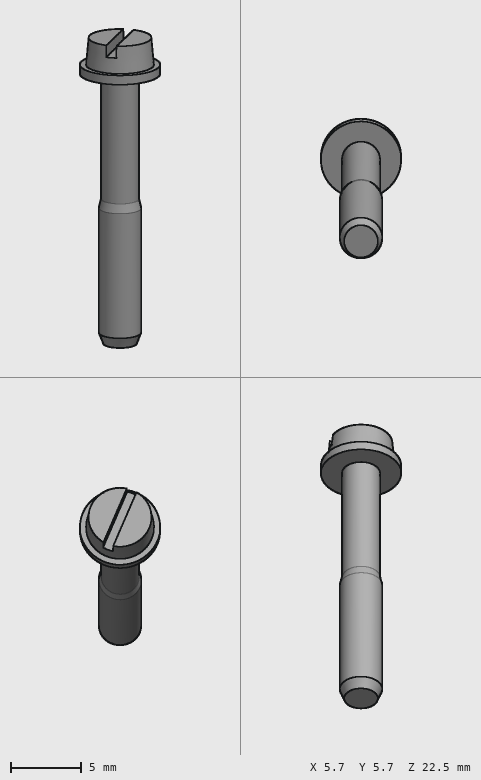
import cadquery as cq

overall_length = 22.5
tip_height = 0.8
thread_top = 10.0
neck_bottom = 10.66
flange_bottom = 19.85
flange_thickness = 0.68
flange_top = flange_bottom + flange_thickness

tip_diameter = 2.38
thread_diameter = 3.02
neck_diameter = 2.7
flange_diameter = 5.7
head_base_diameter = 4.82
head_top_diameter = 4.45

slot_width = 0.75
slot_depth = 0.85


def make_body():
    """Revolve the half profile of the screw about the Z axis."""
    profile = [
        (0, 0),
        (tip_diameter / 2, 0),
        (thread_diameter / 2, tip_height),
        (thread_diameter / 2, thread_top),
        (neck_diameter / 2, neck_bottom),
        (neck_diameter / 2, flange_bottom),
        (flange_diameter / 2, flange_bottom),
        (flange_diameter / 2, flange_top),
        (head_base_diameter / 2, flange_top),
        (head_top_diameter / 2, overall_length),
        (0, overall_length),
    ]
    return cq.Workplane("XZ").polyline(profile).close().revolve(360, (0, 0), (0, 1))


def make_slot():
    """Straight slot running along Y across the whole head."""
    return (
        cq.Workplane("XY")
        .workplane(offset=overall_length - slot_depth)
        .rect(slot_width, flange_diameter)
        .extrude(slot_depth)
    )


result = make_body().cut(make_slot())